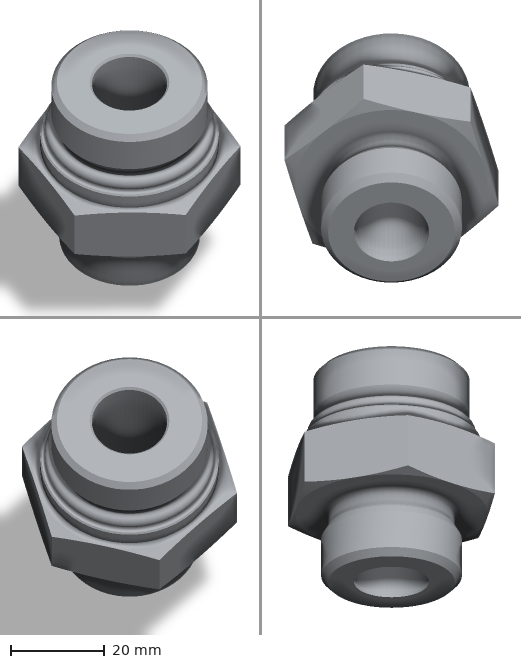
import cadquery as cq
import math

total_height = 48.1
lower_thread_top = 9.9
hex_bottom = 15.95
hex_top = 29.35
collar_top = 33.05
upper_thread_bottom = 38.62

bore_diameter = 16.0
lower_thread_diameter = 30.0
relief_diameter = 27.0
hex_across_flats = 41.0
collar_diameter = 38.1
groove_diameter = 30.15
upper_thread_diameter = 33.35
ring_section_diameter = 2.95

bore_chamfer = 0.5
lower_end_chamfer = 1.5
upper_end_chamfer = 1.2
collar_chamfer = 0.35
neck_fillet = 1.0
runout_angle = math.radians(30)
hex_chamfer_angle = math.radians(15)

bore_radius = bore_diameter / 2
lower_thread_radius = lower_thread_diameter / 2
relief_radius = relief_diameter / 2
collar_radius = collar_diameter / 2
groove_radius = groove_diameter / 2
upper_thread_radius = upper_thread_diameter / 2
hex_across_corners = hex_across_flats / math.cos(math.radians(30))
lower_runout_top = lower_thread_top + (lower_thread_radius - relief_radius) / math.tan(runout_angle)
groove_top = upper_thread_bottom - (upper_thread_radius - groove_radius) / math.tan(runout_angle)


def revolve_profile(points):
    """Revolve a closed outline of (radius, height) points about the Z axis."""
    return cq.Workplane("XZ").polyline(points).close().revolve(360, (0, 0, 0), (0, 1, 0))


def make_hexagon():
    """Hexagon with corners on the Y axis, both ends chamfered by a cone."""
    prism = (
        cq.Workplane("XY", origin=(0, 0, hex_bottom))
        .polygon(6, hex_across_corners)
        .extrude(hex_top - hex_bottom)
        .rotate((0, 0, 0), (0, 0, 1), 30)
    )
    face_radius = hex_across_flats / 2
    corner_radius = hex_across_corners / 2
    corner_drop = (corner_radius - face_radius) * math.tan(hex_chamfer_angle)
    envelope = revolve_profile([
        (0, hex_bottom),
        (face_radius, hex_bottom),
        (corner_radius, hex_bottom + corner_drop),
        (corner_radius, hex_top - corner_drop),
        (face_radius, hex_top),
        (0, hex_top),
    ])
    return prism.intersect(envelope)


def make_lower_end():
    """Lower threaded end with its run-out cone and relief neck."""
    return revolve_profile([
        (0, 0),
        (lower_thread_radius - lower_end_chamfer, 0),
        (lower_thread_radius, lower_end_chamfer),
        (lower_thread_radius, lower_thread_top),
        (relief_radius, lower_runout_top),
        (relief_radius, hex_bottom),
        (0, hex_bottom),
    ])


def make_upper_end():
    """Collar, seal groove and upper threaded end."""
    return revolve_profile([
        (0, hex_top),
        (collar_radius, hex_top),
        (collar_radius, collar_top - collar_chamfer),
        (collar_radius - collar_chamfer, collar_top),
        (groove_radius, collar_top),
        (groove_radius, groove_top),
        (upper_thread_radius, upper_thread_bottom),
        (upper_thread_radius, total_height - upper_end_chamfer),
        (upper_thread_radius - upper_end_chamfer, total_height),
        (0, total_height),
    ])


def make_bore():
    """Through bore with a chamfered mouth at the upper end."""
    return revolve_profile([
        (0, 0),
        (bore_radius, 0),
        (bore_radius, total_height - bore_chamfer),
        (bore_radius + bore_chamfer, total_height),
        (0, total_height),
    ])


def fillet_circle(body, radius, height):
    """Round the circular edge with the given radius and height."""
    tolerance = 0.005
    edge = (
        body.edges("%CIRCLE")
        .filter(lambda circle: abs(circle.radius() - radius) < tolerance)
        .filter(lambda circle: abs(circle.Center().z - height) < tolerance)
    )
    return edge.fillet(neck_fillet)


def make_fitting_body():
    """Double-ended fitting with filleted neck ends."""
    body = make_lower_end().union(make_hexagon()).union(make_upper_end())
    neck_ends = [(relief_radius, hex_bottom), (relief_radius, lower_runout_top)]
    for radius, height in neck_ends + [(groove_radius, groove_top)]:
        body = fillet_circle(body, radius, height)
    return body.cut(make_bore())


def make_seal_ring():
    """Round-section ring that sits in the groove, resting on the collar."""
    section_radius = ring_section_diameter / 2
    ring_radius = groove_radius + section_radius
    ring_height = collar_top + section_radius
    return cq.Workplane(cq.Solid.makeTorus(ring_radius, section_radius, cq.Vector(0, 0, ring_height)))


fitting_body = make_fitting_body()
seal_ring = make_seal_ring()

result = cq.Compound.makeCompound([fitting_body.solids().val(), seal_ring.val()])